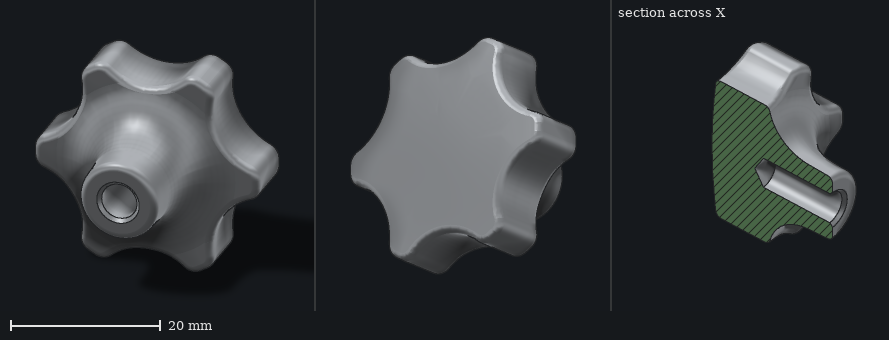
import cadquery as cq
import math

LOBES = 6
OUTER_RADIUS = 16.0
SCALLOP_RADIUS = 8.0
SCALLOP_CENTRE = 20.0
TIP_ROUND = 2.0
EDGE_ROUND = 1.0

HEAD_HEIGHT = 10.0
DOME_RADIUS = 96.0

HUB_LENGTH = 11.0
HUB_END_RADIUS = 5.5
HUB_TAPER = math.radians(2.5)
FLARE_RADIUS = 7.0

BORE_RADIUS = 2.5
BORE_DEPTH = 12.0
BORE_TIP_HALF_ANGLE = math.radians(59)
COUNTERSINK_RADIUS = 3.0

BLANK_RADIUS = OUTER_RADIUS + EDGE_ROUND

FULL_TURN = 360
KNOB_AXIS = ((0, 0, 0), (1, 0, 0))


def polar(radius, angle):
    return radius * math.cos(angle), radius * math.sin(angle)


def toward(start, end, distance):
    """Point at a distance from start along the line to end."""
    share = distance / math.dist(start, end)
    return tuple(s + share * (e - s) for s, e in zip(start, end))


def tip_round_middle(centre, start, end):
    """Middle point of the tip round that runs from start to end."""
    chord_middle = tuple((s + e) / 2 for s, e in zip(start, end))
    return toward(centre, chord_middle, TIP_ROUND)


def turned_blank():
    """Domed head, flared hub and rounded hub end, as one turned profile."""
    dome_centre = HEAD_HEIGHT - DOME_RADIUS
    dome_edge = dome_centre + math.sqrt(DOME_RADIUS**2 - BLANK_RADIUS**2)
    dome_mid = dome_centre + math.sqrt(DOME_RADIUS**2 - (BLANK_RADIUS / 2) ** 2)

    wall_length = HUB_LENGTH - FLARE_RADIUS * (1 - math.sin(HUB_TAPER))
    hub_root_radius = HUB_END_RADIUS + wall_length * math.tan(HUB_TAPER)
    flare_centre = hub_root_radius + FLARE_RADIUS * math.cos(HUB_TAPER)

    def flare_point(angle):
        along, up = polar(FLARE_RADIUS, angle)
        return up - FLARE_RADIUS, flare_centre + along

    root_angle = math.pi - HUB_TAPER
    mid_angle = (root_angle + math.pi / 2) / 2
    blank = (
        cq.Workplane("YZ")
        .moveTo(HEAD_HEIGHT, 0)
        .threePointArc((dome_mid, BLANK_RADIUS / 2), (dome_edge, BLANK_RADIUS))
        .lineTo(0, BLANK_RADIUS)
        .lineTo(0, flare_centre)
        .threePointArc(flare_point(mid_angle), flare_point(root_angle))
        .lineTo(-HUB_LENGTH, HUB_END_RADIUS)
        .lineTo(-HUB_LENGTH, 0)
        .close()
        .revolve(FULL_TURN, *KNOB_AXIS)
    )
    return blank.faces("<Y").edges().fillet(EDGE_ROUND)


def lobe_prism():
    """Prism with the star outline: tip arcs, tip rounds and scallops, all tangent."""
    pitch = 2 * math.pi / LOBES
    to_axis = OUTER_RADIUS - TIP_ROUND
    to_scallop = SCALLOP_RADIUS + TIP_ROUND
    cosine = (to_axis**2 + SCALLOP_CENTRE**2 - to_scallop**2) / (2 * to_axis * SCALLOP_CENTRE)
    tip_half_angle = pitch / 2 - math.acos(cosine)

    outline = cq.Workplane("XZ", origin=(0, HEAD_HEIGHT, 0))
    outline = outline.moveTo(*polar(OUTER_RADIUS, -tip_half_angle))
    for lobe in range(LOBES):
        axis = lobe * pitch
        valley = axis + pitch / 2
        scallop = polar(SCALLOP_CENTRE, valley)
        leaving_round = polar(to_axis, axis + tip_half_angle)
        arriving_round = polar(to_axis, axis + pitch - tip_half_angle)
        scallop_start = toward(scallop, leaving_round, SCALLOP_RADIUS)
        scallop_end = toward(scallop, arriving_round, SCALLOP_RADIUS)
        tip_end = polar(OUTER_RADIUS, axis + tip_half_angle)
        next_tip = polar(OUTER_RADIUS, axis + pitch - tip_half_angle)

        outline = (
            outline.threePointArc(polar(OUTER_RADIUS, axis), tip_end)
            .threePointArc(tip_round_middle(leaving_round, tip_end, scallop_start), scallop_start)
            .threePointArc(polar(SCALLOP_CENTRE - SCALLOP_RADIUS, valley), scallop_end)
            .threePointArc(tip_round_middle(arriving_round, scallop_end, next_tip), next_tip)
        )
    return outline.close().extrude(HEAD_HEIGHT + HUB_LENGTH)


def bore():
    """Blind hole from the hub end with a 45 degree countersink and a drill-point bottom."""
    mouth = -HUB_LENGTH
    full_depth = mouth + BORE_DEPTH
    tip = full_depth + BORE_RADIUS / math.tan(BORE_TIP_HALF_ANGLE)
    countersink_depth = COUNTERSINK_RADIUS - BORE_RADIUS
    profile = [
        (mouth, 0),
        (mouth, COUNTERSINK_RADIUS),
        (mouth + countersink_depth, BORE_RADIUS),
        (full_depth, BORE_RADIUS),
        (tip, 0),
    ]
    return cq.Workplane("YZ").polyline(profile).close().revolve(FULL_TURN, *KNOB_AXIS)


knob = turned_blank().intersect(lobe_prism())
knob = knob.faces("%CYLINDER").edges("not |Y").fillet(EDGE_ROUND)
result = knob.cut(bore())